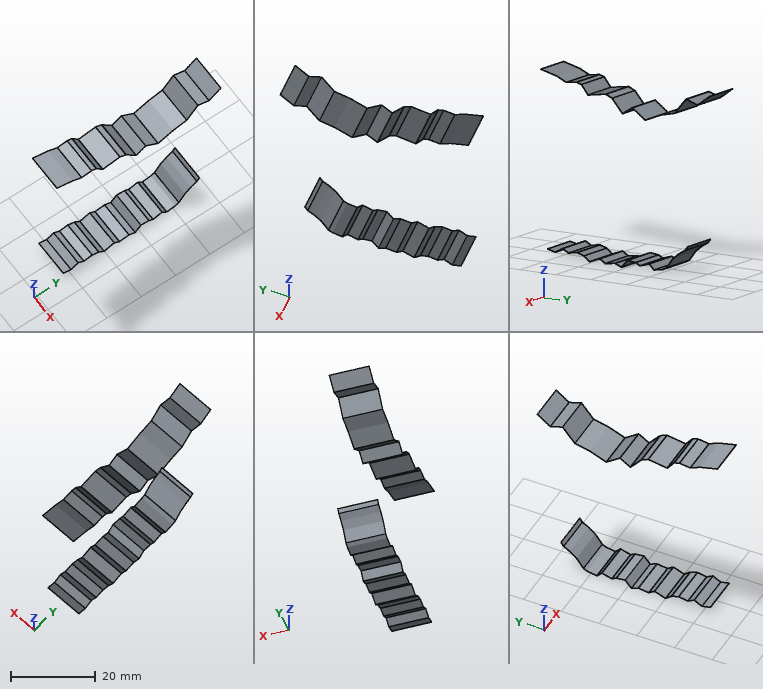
import cadquery as cq
import math

STRIP_WIDTH = 10.0
THICKNESS = 0.15
UPPER_BASE_Z = 13.85
LOWER_BASE_Z = -22.7

UPPER_FOLDS = [
    (23.9, 8.0),
    (20.45, 5.45),
    (17.2, 6.5),
    (13.95, 2.7),
    (10.0, 1.75),
    (5.65, 0.0),
    (2.0, 2.6),
    (-0.75, 0.8),
    (-3.75, 4.2),
    (-5.5, 4.97),
    (-10.5, 4.15),
    (-12.4, 6.5),
    (-13.78, 6.9),
    (-16.65, 6.5),
    (-19.3, 7.7),
    (-23.85, 8.85),
]
LOWER_FOLDS = [
    (17.65, 7.2),
    (16.95, 6.25),
    (15.25, 5.25),
    (13.5, 3.85),
    (11.65, 1.4),
    (10.6, 0.85),
    (8.15, 0.45),
    (6.8, 1.75),
    (4.15, 0.95),
    (2.95, 1.65),
    (0.6, 1.85),
    (-1.05, 0.0),
    (-2.85, 0.7),
    (-5.65, 0.35),
    (-7.17, 1.35),
    (-10.1, 0.25),
    (-11.65, 1.5),
    (-13.6, 2.05),
    (-16.0, 1.65),
    (-17.7, 2.55),
    (-19.75, 1.4),
    (-22.0, 1.9),
]


def segment_direction(start, end):
    """Unit vector from one fold to the next."""
    dy = end[0] - start[0]
    dz = end[1] - start[1]
    length = math.hypot(dy, dz)
    return dy / length, dz / length


def mitred_offset(folds, distance):
    """Shift an open polyline sideways, keeping each segment parallel to itself."""
    directions = [segment_direction(a, b) for a, b in zip(folds, folds[1:])]
    before = [directions[0]] + directions
    after = directions + [directions[-1]]
    shifted = []
    for (y, z), (ay, az), (by, bz) in zip(folds, before, after):
        miter = distance / (1 + ay * by + az * bz)
        shifted.append((y - miter * (az + bz), z + miter * (ay + by)))
    return shifted


def folded_strip(folds, base_z):
    """Constant-thickness strip centred on the fold profile and on X = 0."""
    one_face = mitred_offset(folds, THICKNESS / 2)
    other_face = mitred_offset(folds, -THICKNESS / 2)
    return (
        cq.Workplane("YZ", origin=(0, 0, base_z))
        .polyline(one_face + other_face[::-1])
        .close()
        .extrude(STRIP_WIDTH / 2, both=True)
    )


upper_strip = folded_strip(UPPER_FOLDS, UPPER_BASE_Z)
lower_strip = folded_strip(LOWER_FOLDS, LOWER_BASE_Z)

result = cq.Compound.makeCompound([upper_strip.val(), lower_strip.val()])